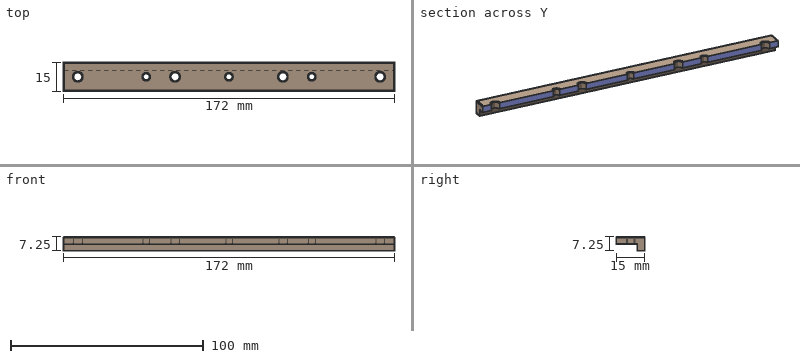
import cadquery as cq

length = 172.0
width = 15.0
height = 7.25

plate_thickness = 3.75
lip_width = 4.0

rim_chamfer = 0.4
hole_chamfer = 0.4

large_hole_diameter = 4.5
end_hole_offset = 78.5
inner_hole_offset = 28.0
small_hole_diameter = 3.4
outer_small_hole_offset = 43.0

large_hole_positions = [-end_hole_offset, -inner_hole_offset, inner_hole_offset, end_hole_offset]
small_hole_positions = [-outer_small_hole_offset, 0.0, outer_small_hole_offset]


def make_bar():
    """L-section bar running along X, with the rim of its top face chamfered."""
    plate_underside = height - plate_thickness
    front = -width / 2
    back = width / 2
    lip_face = back - lip_width
    outline = [
        (front, height),
        (back, height),
        (back, 0.0),
        (lip_face, 0.0),
        (lip_face, plate_underside),
        (front, plate_underside),
    ]
    bar = cq.Workplane("YZ").polyline(outline).close().extrude(length / 2, both=True)
    return bar.faces(">Z").edges().chamfer(rim_chamfer)


def drill_holes(bar, x_positions, diameter):
    """Drill through holes on the centreline, each with a chamfered mouth on the top face."""
    mouth_diameter = diameter + 2 * hole_chamfer
    top_plane = cq.Workplane("XY", origin=(0, 0, height))
    points = [(x, 0.0) for x in x_positions]
    shafts = top_plane.pushPoints(points).circle(diameter / 2).extrude(-height)
    mouths = top_plane.pushPoints(points).circle(mouth_diameter / 2).extrude(-hole_chamfer, taper=45)
    return bar.cut(shafts).cut(mouths)


result = make_bar()
result = drill_holes(result, large_hole_positions, large_hole_diameter)
result = drill_holes(result, small_hole_positions, small_hole_diameter)